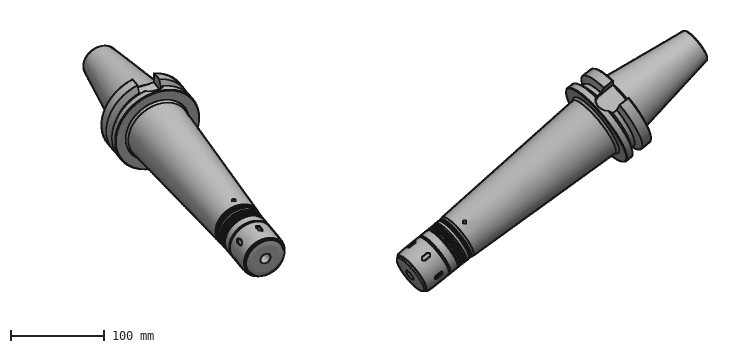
import cadquery as cq
import math

length = 402.0

taper_small_d = 40.0
end_chamfer = 0.6
taper_length = 102.5
taper_large_d = taper_small_d + taper_length * 7 / 24

flange_d = 100.0
flange_start = 105.0
flange_end = 140.0
flange_chamfer = 1.0
groove_wall_angle = 27.0
groove_floor_d = 84.5
groove_floor_start = 121.7
groove_floor_end = 127.5
groove_depth = (flange_d - groove_floor_d) / 2
groove_wall_run = groove_depth * math.tan(math.radians(groove_wall_angle))

neck_d = 68.7
neck_start = 103.5

slot_width = 25.7
slot_floor_z = 35.8
slot_end = 136.5

shoulder_d = 75.5
shoulder_end = 143.0
body_large_d = 72.5
body_small_d = 53.0
body_end = 334.3

collar_d = 52.0
nut_start = 344.5
nut_d = 51.5

ring_floor_d = 51.0
ring_grooves = [(337.0, 340.7), (346.0, 349.0), (350.0, 353.0), (354.5, 356.8), (365.5, 369.0)]

nose_start = 391.0
nose_d = 50.5
nose_round_start = 395.8
nose_round = 3.0
nut_end = 398.5
nut_end_d = 48.2
collet_d = 45.0
collet_chamfer_start = 401.0
collet_face_d = 34.0

spanner_count = 6
spanner_first_angle = -6.0
spanner_width = 5.0
spanner_start = 375.5
spanner_end = 386.5
spanner_depth = 2.0

pin_hole_x = 324.5
pin_hole_d = 4.0

counterbore_d = 25.0
counterbore_depth = 11.3
thread_bore_d = 21.0
thread_bore_depth = 48.2
through_d = 12.0
drill_point_half_angle = 59.0


def body_of_revolution():
    flange_r = flange_d / 2
    profile = (
        cq.Workplane("XY")
        .moveTo(0, 0)
        .lineTo(0, taper_small_d / 2 - end_chamfer)
        .lineTo(end_chamfer, taper_small_d / 2)
        .lineTo(taper_length, taper_large_d / 2)
        .lineTo(neck_start, taper_large_d / 2)
        .lineTo(neck_start, neck_d / 2)
        .lineTo(flange_start, neck_d / 2)
        .lineTo(flange_start, flange_r - flange_chamfer)
        .lineTo(flange_start + flange_chamfer, flange_r)
        .lineTo(groove_floor_start - groove_wall_run, flange_r)
        .lineTo(groove_floor_start, groove_floor_d / 2)
        .lineTo(groove_floor_end, groove_floor_d / 2)
        .lineTo(groove_floor_end + groove_wall_run, flange_r)
        .lineTo(flange_end - flange_chamfer, flange_r)
        .lineTo(flange_end, flange_r - flange_chamfer)
        .lineTo(flange_end, shoulder_d / 2)
        .lineTo(shoulder_end, body_large_d / 2)
        .lineTo(body_end, body_small_d / 2)
        .lineTo(body_end, collar_d / 2)
        .lineTo(nut_start, collar_d / 2)
        .lineTo(nut_start, nut_d / 2)
        .lineTo(nose_start, nut_d / 2)
        .lineTo(nose_round_start, nose_d / 2)
        .radiusArc((nut_end, nut_end_d / 2), nose_round)
        .lineTo(nut_end, collet_d / 2)
        .lineTo(collet_chamfer_start, collet_d / 2)
        .lineTo(length, collet_face_d / 2)
        .lineTo(length, 0)
        .close()
    )
    return profile.revolve(360, (0, 0, 0), (1, 0, 0))


def ring_groove(start, end):
    floor, outside = ring_floor_d / 2, flange_d / 2
    mouth = collar_d / 2
    wall_run = (end - start) / 3
    return (
        cq.Workplane("XY")
        .moveTo(start, outside)
        .lineTo(start, mouth)
        .lineTo(start + wall_run, floor)
        .lineTo(end - wall_run, floor)
        .lineTo(end, mouth)
        .lineTo(end, outside)
        .close()
        .revolve(360, (0, 0, 0), (1, 0, 0))
    )


def drive_slot():
    radius = slot_width / 2
    arc_start = slot_end - radius
    return (
        cq.Workplane("XY", origin=(0, 0, slot_floor_z))
        .moveTo(flange_start, -radius)
        .lineTo(arc_start, -radius)
        .threePointArc((slot_end, 0), (arc_start, radius))
        .lineTo(flange_start, radius)
        .close()
        .extrude(flange_d)
    )


def spanner_slot():
    middle_x = (spanner_start + spanner_end) / 2
    return (
        cq.Workplane("XY", origin=(middle_x, 0, nut_d / 2 - spanner_depth))
        .slot2D(spanner_end - spanner_start, spanner_width)
        .extrude(nut_d)
    )


def turned(shape, angle):
    return shape.rotate((0, 0, 0), (1, 0, 0), angle)


def pin_hole():
    return cq.Workplane("XY").center(pin_hole_x, 0).circle(pin_hole_d / 2).extrude(flange_d, both=True)


def bores():
    counterbore_r, thread_r, through_r = counterbore_d / 2, thread_bore_d / 2, through_d / 2
    lead_in = counterbore_r - thread_r
    drill_point = (thread_r - through_r) / math.tan(math.radians(drill_point_half_angle))
    profile = (
        cq.Workplane("XY")
        .moveTo(0, 0)
        .lineTo(0, counterbore_r)
        .lineTo(counterbore_depth, counterbore_r)
        .lineTo(counterbore_depth + lead_in, thread_r)
        .lineTo(thread_bore_depth, thread_r)
        .lineTo(thread_bore_depth + drill_point, through_r)
        .lineTo(length, through_r)
        .lineTo(length, 0)
        .close()
    )
    return profile.revolve(360, (0, 0, 0), (1, 0, 0))


result = body_of_revolution().cut(bores())
for start, end in ring_grooves:
    result = result.cut(ring_groove(start, end))
for angle in (0, 180):
    result = result.cut(turned(drive_slot(), angle))
for i in range(spanner_count):
    result = result.cut(turned(spanner_slot(), spanner_first_angle + i * 360 / spanner_count))
result = result.cut(pin_hole())